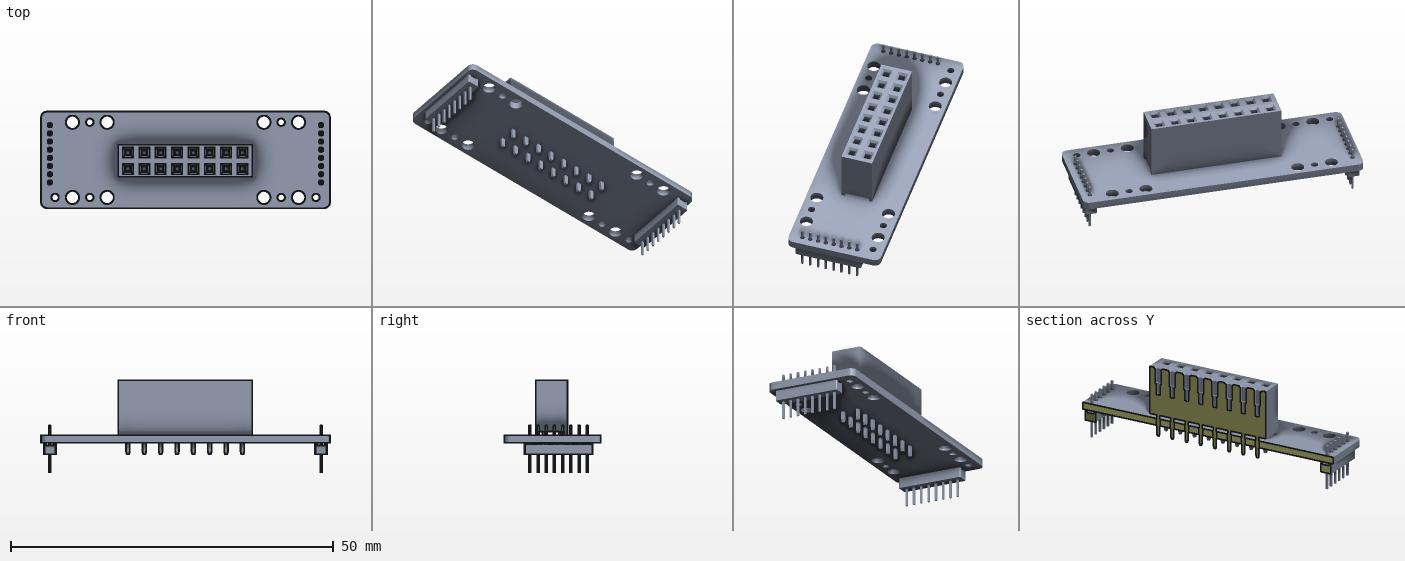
import cadquery as cq
BOARD_LENGTH = 44.8
BOARD_WIDTH = 15.0
BOARD_THICKNESS = 1.2
BOARD_CORNER_RADIUS = 1.0
BOARD_BOTTOM = -BOARD_THICKNESS

LARGE_HOLE_DIAMETER = 2.0
SMALL_HOLE_DIAMETER = 1.1
HOLE_ROW_Y = 5.82
FIRST_HOLE_X = 12.15
HOLE_PITCH = 2.7

SOCKET_LENGTH = 20.8
SOCKET_WIDTH = 4.97
SOCKET_HEIGHT = 8.5
SOCKET_CENTER = (-0.05, -0.15)
SOCKET_COLUMNS = 8
SOCKET_ROWS = 2
SOCKET_ROW_SPAN = 17.75
SOCKET_PITCH = SOCKET_ROW_SPAN / (SOCKET_COLUMNS - 1)
FOOT_WIDTH = 0.55
FOOT_HEIGHT = 0.55

FUNNEL_TOP = 1.6
FUNNEL_BOTTOM = 1.0
FUNNEL_DEPTH = 0.3
SHAFT_DEPTH = 2.7
BORE_SIDE = 0.63
BORE_DEPTH = 4.5

TAIL_LENGTH_X = 0.63
TAIL_LENGTH_Y = 0.4
TAIL_BELOW_BOARD = 1.75
TAIL_TIP_HEIGHT = 0.45
TAIL_TIP_INSET = 0.15

HEADER_X = 21.0
HEADER_Y = 0.95
HEADER_WIDTH = 1.93
HEADER_LENGTH = 10.65
HEADER_BOTTOM = BOARD_BOTTOM - 1.75
HEADER_GAP = 0.15
HEADER_CORNER_CHAMFER = 0.15
HEADER_GROOVE_WIDTH = 1.08
HEADER_GROOVE_DEPTH = 0.22

PIN_COUNT = 8
PIN_PITCH = SOCKET_PITCH / 2
PIN_SIDE = 0.3
PIN_ABOVE_BOARD = 1.52
PIN_BELOW_BOARD = 4.55
PIN_TIP_CHAMFER = 0.065
PIN_HOLE_DIAMETER = 0.7

socket_contacts = [
    (
        SOCKET_CENTER[0] + (column - (SOCKET_COLUMNS - 1) / 2) * SOCKET_PITCH,
        SOCKET_CENTER[1] + (row - (SOCKET_ROWS - 1) / 2) * SOCKET_PITCH,
    )
    for column in range(SOCKET_COLUMNS)
    for row in range(SOCKET_ROWS)
]
pin_offsets = [(0, (i - (PIN_COUNT - 1) / 2) * PIN_PITCH) for i in range(PIN_COUNT)]


def block(length_x, length_y, bottom, top, center=(0, 0)):
    """Upright box between two heights."""
    return (
        cq.Workplane(origin=(*center, bottom))
        .rect(length_x, length_y)
        .extrude(top - bottom)
    )


def make_board():
    board = block(BOARD_LENGTH, BOARD_WIDTH, BOARD_BOTTOM, 0)
    board = board.edges("|Z").fillet(BOARD_CORNER_RADIUS)

    large_holes = []
    small_holes = []
    for end in (-1, 1):
        hole_x = [end * (FIRST_HOLE_X + i * HOLE_PITCH) for i in range(4)]
        for y in (-HOLE_ROW_Y, HOLE_ROW_Y):
            large_holes += [(hole_x[0], y), (hole_x[2], y)]
            small_holes.append((hole_x[1], y))
        small_holes.append((hole_x[3], -HOLE_ROW_Y))

    pin_holes = [(end * HEADER_X, HEADER_Y + y) for end in (-1, 1) for _, y in pin_offsets]

    hole_outlines = [
        cq.Workplane().pushPoints(large_holes).circle(LARGE_HOLE_DIAMETER / 2),
        cq.Workplane().pushPoints(small_holes).circle(SMALL_HOLE_DIAMETER / 2),
        cq.Workplane().pushPoints(pin_holes).circle(PIN_HOLE_DIAMETER / 2),
        cq.Workplane().pushPoints(socket_contacts).rect(TAIL_LENGTH_X, TAIL_LENGTH_Y),
    ]
    for outline in hole_outlines:
        board = board.cut(outline.extrude(-BOARD_THICKNESS))
    return board


def make_contact_opening():
    """Funnel, shaft and bore to cut from the socket, with the top at Z = 0."""
    funnel = (
        cq.Workplane()
        .rect(FUNNEL_TOP, FUNNEL_TOP)
        .workplane(offset=-FUNNEL_DEPTH)
        .rect(FUNNEL_BOTTOM, FUNNEL_BOTTOM)
        .loft(ruled=True)
    )
    shaft = block(FUNNEL_BOTTOM, FUNNEL_BOTTOM, -SHAFT_DEPTH, -FUNNEL_DEPTH)
    bore = block(BORE_SIDE, BORE_SIDE, -BORE_DEPTH, -SHAFT_DEPTH)
    return funnel.union(shaft).union(bore)


def make_tail():
    """Flat socket tail from the underside of the socket block to a tip that narrows along X."""
    tip_bottom = BOARD_BOTTOM - TAIL_BELOW_BOARD
    tip_top = tip_bottom + TAIL_TIP_HEIGHT
    side_x = TAIL_LENGTH_X / 2
    tip_x = side_x - TAIL_TIP_INSET
    outline = [
        (-side_x, FOOT_HEIGHT),
        (-side_x, tip_top),
        (-tip_x, tip_bottom),
        (tip_x, tip_bottom),
        (side_x, tip_top),
        (side_x, FOOT_HEIGHT),
    ]
    return cq.Workplane("XZ").polyline(outline).close().extrude(TAIL_LENGTH_Y / 2, both=True)


def make_socket():
    socket = block(SOCKET_LENGTH, SOCKET_WIDTH, 0, SOCKET_HEIGHT, SOCKET_CENTER)

    channel_width = SOCKET_WIDTH - 2 * FOOT_WIDTH
    socket = socket.cut(block(SOCKET_LENGTH, channel_width, 0, FOOT_HEIGHT, SOCKET_CENTER))

    opening = make_contact_opening()
    tail = make_tail()
    for x, y in socket_contacts:
        socket = socket.cut(opening.translate((x, y, SOCKET_HEIGHT)))
        socket = socket.union(tail.translate((x, y, 0)))
    return socket


def make_header():
    """Header block with its row of pins, centred on the Z axis."""
    top = BOARD_BOTTOM - HEADER_GAP
    header = block(HEADER_WIDTH, HEADER_LENGTH, HEADER_BOTTOM, top)
    header = header.edges("|Z").chamfer(HEADER_CORNER_CHAMFER)

    header = header.cut(block(HEADER_GROOVE_WIDTH, HEADER_LENGTH, top - HEADER_GROOVE_DEPTH, top))

    pin = block(PIN_SIDE, PIN_SIDE, BOARD_BOTTOM - PIN_BELOW_BOARD, PIN_ABOVE_BOARD)
    pin = pin.faces("|Z").chamfer(PIN_TIP_CHAMFER)
    for x, y in pin_offsets:
        header = header.union(pin.translate((x, y, 0)))
    return header


board = make_board()
socket = make_socket()
header = make_header()
headers = [header.translate((end * HEADER_X, HEADER_Y, 0)) for end in (-1, 1)]

result = cq.Compound.makeCompound(
    [board.val(), socket.val(), *[placed.val() for placed in headers]]
)